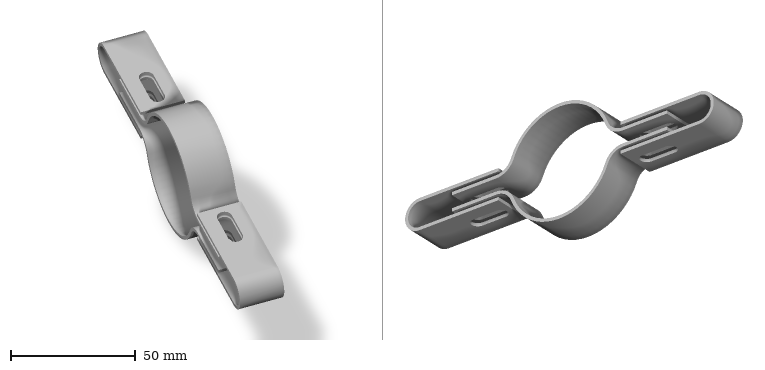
import cadquery as cq
import math

strip_width = 19.0
strip_thickness = 1.5

ring_outer_radius = 26.5
ring_inner_radius = ring_outer_radius - strip_thickness
tab_inner_height = 3.0
tab_outer_height = tab_inner_height + strip_thickness
tab_end = 54.7
bend_small_radius = 8.0
bend_large_radius = bend_small_radius + strip_thickness

clip_end = 78.6
clip_mouth = 31.1
clip_outer_radius = 7.4
clip_inner_radius = clip_outer_radius - strip_thickness
clip_bend_center = clip_end - clip_outer_radius

slot_length = 18.1
slot_width = 6.1
slot_center = 43.1

bend_center_z = tab_outer_height + bend_small_radius
bend_center_x = math.sqrt((ring_outer_radius + bend_small_radius) ** 2 - bend_center_z ** 2)
joint_angle = math.atan2(bend_center_z, bend_center_x)
bend_middle_angle = (math.pi + joint_angle + 1.5 * math.pi) / 2


def ring_point(radius, side):
    """Point where the ring arc of the given radius meets the bend on one side."""
    return side * radius * math.cos(joint_angle), radius * math.sin(joint_angle)


def bend_middle(radius, side):
    """Middle point of a root bend arc of the given radius."""
    return (
        side * (bend_center_x + radius * math.cos(bend_middle_angle)),
        bend_center_z + radius * math.sin(bend_middle_angle),
    )


def make_slots():
    """Cutters for the slots on both sides, running along Z."""
    return (
        cq.Workplane("XY")
        .pushPoints([(-slot_center, 0), (slot_center, 0)])
        .slot2D(slot_length, slot_width)
        .extrude(ring_outer_radius, both=True)
    )


def make_upper_strap():
    """Half ring above the XY plane with a slotted tab on each side."""
    strap = (
        cq.Workplane("XZ")
        .moveTo(-tab_end, tab_outer_height)
        .lineTo(-bend_center_x, tab_outer_height)
        .threePointArc(bend_middle(bend_small_radius, -1), ring_point(ring_outer_radius, -1))
        .threePointArc((0, ring_outer_radius), ring_point(ring_outer_radius, 1))
        .threePointArc(bend_middle(bend_small_radius, 1), (bend_center_x, tab_outer_height))
        .lineTo(tab_end, tab_outer_height)
        .lineTo(tab_end, tab_inner_height)
        .lineTo(bend_center_x, tab_inner_height)
        .threePointArc(bend_middle(bend_large_radius, 1), ring_point(ring_inner_radius, 1))
        .threePointArc((0, ring_inner_radius), ring_point(ring_inner_radius, -1))
        .threePointArc(bend_middle(bend_large_radius, -1), (-bend_center_x, tab_inner_height))
        .lineTo(-tab_end, tab_inner_height)
        .close()
        .extrude(strip_width / 2, both=True)
    )
    return strap.cut(make_slots())


def make_right_clip():
    """U-shaped clip on the +X side, open toward the ring, with slotted legs."""
    clip = (
        cq.Workplane("XZ")
        .moveTo(clip_mouth, clip_outer_radius)
        .lineTo(clip_bend_center, clip_outer_radius)
        .threePointArc((clip_end, 0), (clip_bend_center, -clip_outer_radius))
        .lineTo(clip_mouth, -clip_outer_radius)
        .lineTo(clip_mouth, -clip_inner_radius)
        .lineTo(clip_bend_center, -clip_inner_radius)
        .threePointArc((clip_end - strip_thickness, 0), (clip_bend_center, clip_inner_radius))
        .lineTo(clip_mouth, clip_inner_radius)
        .close()
        .extrude(strip_width / 2, both=True)
    )
    return clip.cut(make_slots())


straps = []
clips = []
for turn in (0, 180):
    straps.append(make_upper_strap().rotate((0, 0, 0), (0, 1, 0), turn).val())
    clips.append(make_right_clip().rotate((0, 0, 0), (0, 1, 0), turn).val())

result = cq.Compound.makeCompound([*straps, *clips])